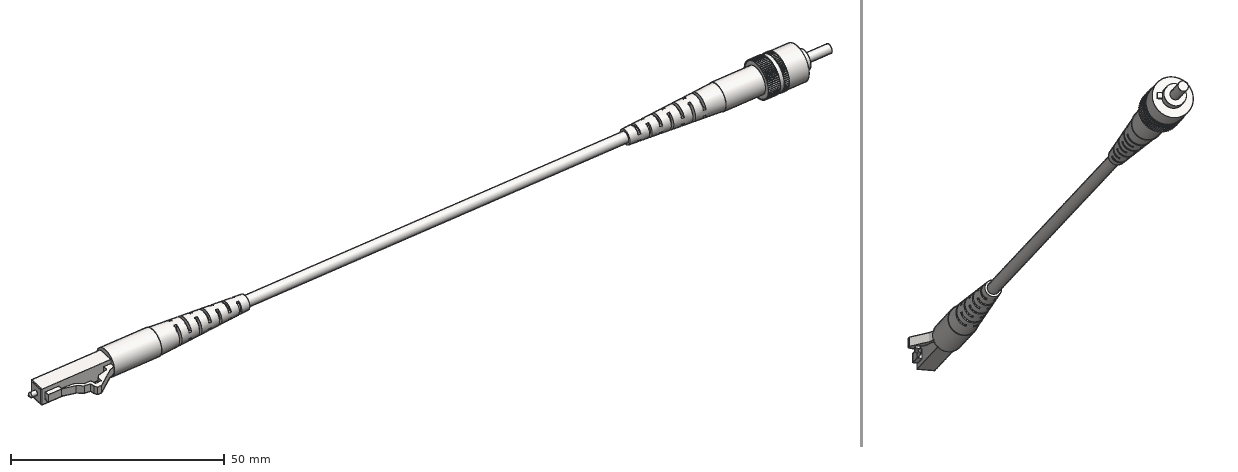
import cadquery as cq
import math

cord_length = 227.7
front_tip = -cord_length / 2
rear_tip = cord_length / 2

cable_radius = 1.48
boot_length = 26.2
boot_large_radius = 3.6
boot_small_radius = 2.0
slot_count = 7
slot_width = 0.7
slot_pitch = 3.0
first_slot_distance = 5.7
slot_core_radius = 1.7
rib_width = 1.8

plug_ferrule_radius = 1.25
plug_ferrule_length = 7.0
neck_radius = 2.7
nut_start = 9.0
nut_end = 20.7
plug_body_end = 31.9
barrel_radius = 3.75
key_width = 1.4
key_reach = 3.9
key_start = 8.5

nut_radius = 5.12
nut_tooth_depth = 0.2
nut_tooth_count = 60
nut_smooth_radius = 5.0
front_grip_start = 14.8
front_grip_end = 16.2
back_grip_start = 17.3

tip_ferrule_radius = 0.7
tip_ferrule_length = 2.0
tip_chamfer = 0.5
housing_end = 21.9
housing_width = 4.3
housing_height = 4.8
housing_chamfer = 0.2
sleeve_radius = barrel_radius
sleeve_end = 35.3

latch_width = 2.3
latch_base_height = 3.5
latch_base_start = 3.2
latch_base_end = 7.0
latch_peak_height = 7.63
trigger_post_start = 19.8


def ring(outer_radius, start, end):
    """Solid cylinder about Y between two Y positions."""
    return cq.Workplane("XZ", origin=(0, end, 0)).circle(outer_radius).extrude(end - start)


def make_boot(large_end, direction, first_rib_angle):
    """Tapered boot round the cable, ringed by slots whose two ribs turn a quarter from slot to slot."""
    boot = (
        cq.Workplane("XY")
        .polyline([
            (cable_radius, 0),
            (boot_large_radius, 0),
            (boot_small_radius, boot_length),
            (cable_radius, boot_length),
        ])
        .close()
        .revolve(360, (0, 0), (0, 1))
    )
    for i in range(slot_count):
        middle = first_slot_distance + i * slot_pitch
        ribs = (
            cq.Workplane("XY")
            .box(2 * boot_large_radius, slot_width, rib_width)
            .translate((0, middle, 0))
            .rotate((0, 0, 0), (0, 1, 0), first_rib_angle + 90 * (i % 2))
        )
        start = middle - slot_width / 2
        end = middle + slot_width / 2
        slots = ring(boot_large_radius, start, end).cut(ring(slot_core_radius, start, end)).cut(ribs)
        boot = boot.cut(slots)
    turn = 0 if direction > 0 else 180
    return boot.rotate((0, 0, 0), (0, 0, 1), turn).translate((0, large_end, 0))


def make_cable():
    return ring(cable_radius, front_tip + sleeve_end, rear_tip - plug_body_end)


def make_plug_body():
    """Ferrule, neck, alignment key and barrel of the screw-nut plug."""
    ferrule = ring(plug_ferrule_radius, rear_tip - plug_ferrule_length, rear_tip)
    neck = ring(neck_radius, rear_tip - nut_end, rear_tip - plug_ferrule_length)
    barrel = ring(barrel_radius, rear_tip - plug_body_end, rear_tip - nut_end)
    key = (
        cq.Workplane("XY", origin=(0, rear_tip - nut_start, 0))
        .rect(key_reach, nut_start - key_start, centered=False)
        .extrude(key_width / 2, both=True)
    )
    return ferrule.union(neck).union(barrel).union(key)


def make_grip(start, end):
    """Toothed grip ring of the nut, between two distances from the ferrule tip."""
    teeth = []
    for i in range(2 * nut_tooth_count):
        radius = nut_radius - nut_tooth_depth * (i % 2)
        angle = math.pi * (i / nut_tooth_count + 0.5)
        teeth.append((radius * math.cos(angle), radius * math.sin(angle)))
    return cq.Workplane("XZ", origin=(0, rear_tip - start, 0)).polyline(teeth).close().extrude(end - start)


def make_nut():
    """Coupling nut with a smooth front and a toothed grip split by a groove."""
    front = rear_tip - nut_start
    back = rear_tip - nut_end
    nut = ring(nut_radius - nut_tooth_depth, back, front)
    nut = nut.union(ring(nut_smooth_radius, rear_tip - front_grip_start, front))
    nut = nut.union(make_grip(front_grip_start, front_grip_end))
    nut = nut.union(make_grip(back_grip_start, nut_end))
    return nut.cut(ring(neck_radius, back, front))


def make_sleeve():
    return ring(sleeve_radius, front_tip + housing_end, front_tip + sleeve_end)


def make_latch():
    """Spring latch and trigger meeting at a peak, outlined by height in X and distance from the tip."""
    outline = [
        (0, latch_base_start),
        (latch_base_height, latch_base_start),
        (latch_base_height, latch_base_end),
        (4.3, 10.5),
        (5.5, 12.0),
        (5.7, 13.7),
        (6.8, 14.0),
        (latch_peak_height, 14.3),
        (latch_peak_height, 15.5),
        (4.0, 20.3),
        (latch_base_height, housing_end),
        (0, housing_end),
        (0, trigger_post_start),
        (latch_base_height, trigger_post_start),
        (4.0, 17.0),
        (4.8, 16.5),
        (6.1, 16.5),
        (6.1, 14.8),
        (4.8, 14.3),
        (4.8, 12.8),
        (3.5, 10.5),
        (3.2, latch_base_end),
        (0, latch_base_end),
    ]
    return (
        cq.Workplane("XY", origin=(0, front_tip, 0))
        .polyline(outline)
        .close()
        .extrude(latch_width / 2, both=True)
    )


def make_housing():
    """Rectangular latched housing with its pointed ferrule tip."""
    block_length = housing_end - tip_ferrule_length
    block = (
        cq.Workplane("XY")
        .box(housing_width, block_length, housing_height)
        .faces("<Y")
        .chamfer(housing_chamfer)
        .translate((0, front_tip + tip_ferrule_length + block_length / 2, 0))
    )
    ferrule = ring(tip_ferrule_radius, front_tip, front_tip + tip_ferrule_length).faces("<Y").chamfer(tip_chamfer)
    return block.union(ferrule).union(make_latch())


plug_body = make_plug_body()
nut = make_nut()
cable = make_cable()
sleeve = make_sleeve()
housing = make_housing()
boots = []
for large_end, direction, first_rib_angle in (
    (rear_tip - plug_body_end, -1, 0),
    (front_tip + sleeve_end, 1, 90),
):
    boots.append(make_boot(large_end, direction, first_rib_angle).val())

result = cq.Compound.makeCompound(
    [plug_body.val(), nut.val(), cable.val(), sleeve.val(), housing.val(), *boots]
)